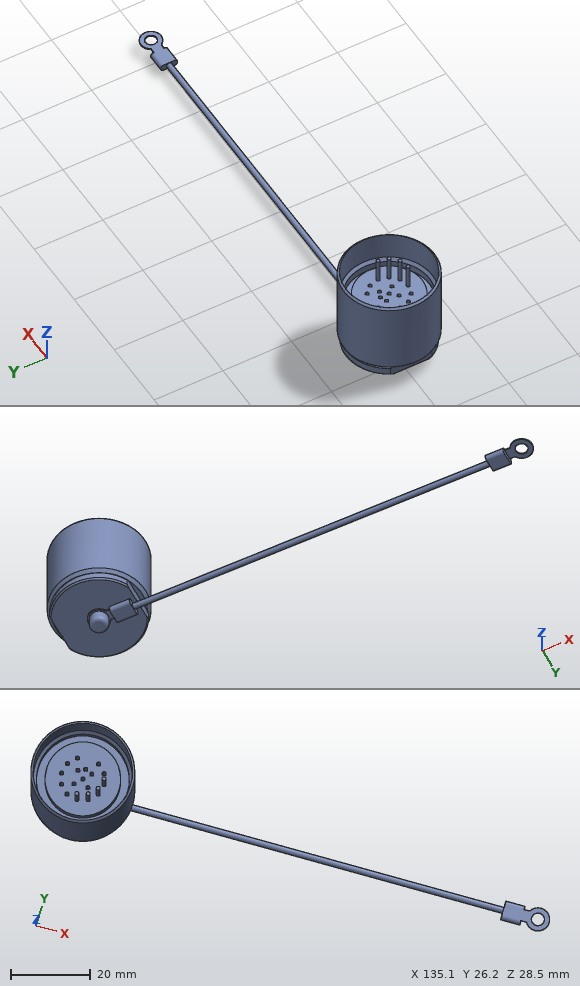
import cadquery as cq
import math

TOTAL_LENGTH = 135.1
TOTAL_HEIGHT = 28.5
RIM_Z = 25.0
SCREW_TIP_Z = RIM_Z - TOTAL_HEIGHT

CUP_DIAMETER = 26.2
BORE_DIAMETER = 25.0
SEAT_DIAMETER = 23.4
CUP_BOTTOM_Z = 3.6
RIM_BEVEL_HEIGHT = 0.5
BORE_DEPTH = 8.1
BORE_TAPER_HEIGHT = 0.8

PLATE_DIAMETER = 25.0
PLATE_ACROSS_FLATS = 21.9
PLATE_TOP_Z = 2.8
PLATE_CHAMFER = 0.4
CUP_UNDERSIDE_DIAMETER = 24.3

INSERT_DIAMETER = 19.0
INSERT_TOP_Z = 16.8
GROOVE_DEPTH = 2.7

CONTACT_DIAMETER = 1.0
PIN_HEIGHT = 7.0
SOCKET_DEPTH = 4.0
OUTER_RING_RADIUS = 5.5
INNER_RING_RADIUS = 2.5
PIN_ANGLES = [-90, -60, -30, 0]
OUTER_SOCKET_ANGLES = [30, 60, 120, 150, 180, 210, 240]
INNER_SOCKET_ANGLES = [-135, -45, 45, 90, 135]

SCREW_DIAMETER = 5.0
SCREW_TIP_DIAMETER = 3.0

CABLE_DIAMETER = 1.6
LUG_THICKNESS = 0.4
LUG_RING_DIAMETER = 6.0
LUG_HOLE_DIAMETER = 3.2
LUG_STRAP_WIDTH = 3.0
CRIMP_START = 4.0
CUP_CRIMP_LENGTH = 5.7
FAR_CRIMP_LENGTH = 5.0
CRIMP_WIDTH = 5.0
CRIMP_HEIGHT = 1.9
FAR_LUG_X = TOTAL_LENGTH - CUP_DIAMETER / 2 - LUG_RING_DIAMETER / 2


def cylinder(diameter, bottom_z, top_z, x=0.0):
    return cq.Workplane("XY", origin=(x, 0, bottom_z)).circle(diameter / 2).extrude(top_z - bottom_z)


def on_circle(radius, angles):
    return [(radius * math.cos(math.radians(a)), radius * math.sin(math.radians(a))) for a in angles]


def cup():
    bore_taper_z = RIM_Z - BORE_DEPTH
    seat_z = bore_taper_z - BORE_TAPER_HEIGHT
    groove_z = INSERT_TOP_Z - GROOVE_DEPTH
    half_section = [
        (0, PLATE_TOP_Z),
        (CUP_UNDERSIDE_DIAMETER / 2, PLATE_TOP_Z),
        (CUP_DIAMETER / 2, CUP_BOTTOM_Z),
        (CUP_DIAMETER / 2, RIM_Z - RIM_BEVEL_HEIGHT),
        (BORE_DIAMETER / 2, RIM_Z),
        (BORE_DIAMETER / 2, bore_taper_z),
        (SEAT_DIAMETER / 2, seat_z),
        (SEAT_DIAMETER / 2, groove_z),
        (INSERT_DIAMETER / 2, groove_z),
        (INSERT_DIAMETER / 2, INSERT_TOP_Z),
        (0, INSERT_TOP_Z),
    ]
    return cq.Workplane("XZ").polyline(half_section).close().revolve(360, (0, 0), (0, 1))


def base_plate():
    flats = cq.Workplane("XY").rect(PLATE_ACROSS_FLATS, PLATE_DIAMETER).extrude(PLATE_TOP_Z)
    disc = cylinder(PLATE_DIAMETER, 0, PLATE_TOP_Z).edges("%CIRCLE").chamfer(PLATE_CHAMFER)
    return disc.intersect(flats)


def contacts(points, length):
    """Round bars from the insert face, upward for a positive length and downward for a negative one."""
    face = cq.Workplane("XY", origin=(0, 0, INSERT_TOP_Z))
    return face.pushPoints(points).circle(CONTACT_DIAMETER / 2).extrude(length)


def pins():
    return contacts(on_circle(OUTER_RING_RADIUS, PIN_ANGLES), PIN_HEIGHT)


def sockets():
    points = on_circle(OUTER_RING_RADIUS, OUTER_SOCKET_ANGLES)
    points += on_circle(INNER_RING_RADIUS, INNER_SOCKET_ANGLES)
    points.append((0, 0))
    return contacts(points, -SOCKET_DEPTH)


def screw():
    tip_fillet = (SCREW_DIAMETER - SCREW_TIP_DIAMETER) / 2
    return cylinder(SCREW_DIAMETER, SCREW_TIP_Z, 0).faces("<Z").fillet(tip_fillet)


def lug(ring_x, direction, crimp_length):
    """Ring lug whose crimp lies from the ring toward +X (direction 1) or -X (direction -1)."""
    ring = cylinder(LUG_RING_DIAMETER, -LUG_THICKNESS, 0, ring_x)
    strap_length = CRIMP_START + crimp_length
    strap = (
        cq.Workplane("XY")
        .box(strap_length, LUG_STRAP_WIDTH, LUG_THICKNESS)
        .translate((ring_x + direction * strap_length / 2, 0, -LUG_THICKNESS / 2))
    )
    crimp = (
        cq.Workplane("YZ")
        .slot2D(CRIMP_WIDTH, CRIMP_HEIGHT)
        .extrude(crimp_length / 2, both=True)
        .translate((ring_x + direction * (CRIMP_START + crimp_length / 2), 0, -CRIMP_HEIGHT / 2))
    )
    hole = cylinder(LUG_HOLE_DIAMETER, -LUG_THICKNESS, 0, ring_x)
    return ring.union(strap).cut(hole).union(crimp)


def cable():
    length = FAR_LUG_X - 2 * CRIMP_START
    axis_z = -CRIMP_HEIGHT / 2
    return cq.Workplane("YZ", origin=(CRIMP_START, 0, axis_z)).circle(CABLE_DIAMETER / 2).extrude(length)


result = (
    cup()
    .union(base_plate())
    .cut(sockets())
    .union(pins())
    .union(lug(0, 1, CUP_CRIMP_LENGTH))
    .union(screw())
    .union(cable())
    .union(lug(FAR_LUG_X, -1, FAR_CRIMP_LENGTH))
)